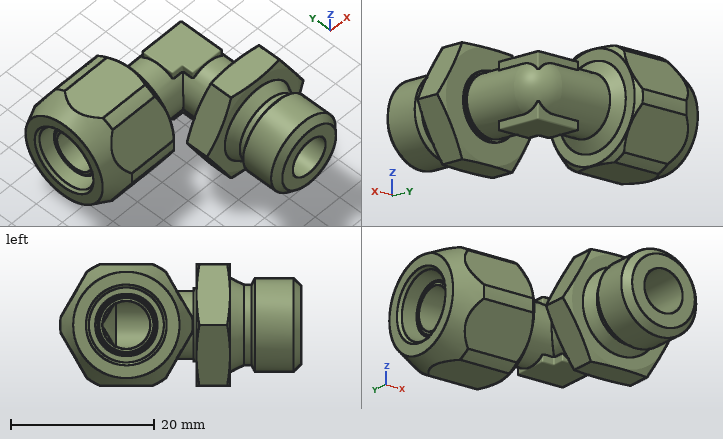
import cadquery as cq
import math

overall_length = 33.8
across_flats = 17.0
flat_radius = across_flats / 2
hex_corner_radius = flat_radius / math.cos(math.radians(30))

pipe_radius = 4.77
bore_radius = 3.35
drill_tip_height = bore_radius / math.tan(math.radians(59))
stud_bore_end = 1.45

pad_outer = 3.0
pad_inner = -4.95
pad_notch = -2.95
pad_half_height = 5.0
pad_rounding = 0.2

nut_front = hex_corner_radius - overall_length
nut_back = -10.55
nut_corner_radius = 9.25
nut_face_radius = 7.45
nut_cone_end = -19.95
nut_back_radius = 8.45
nut_back_chamfer = 0.8
collar_radius = 6.7
collar_end = -9.35

socket_radius = 5.25
socket_chamfer_radius = 5.65
socket_chamfer = 0.55
socket_depth = 6.1
liner_setback = 2.13
liner_face_radius = 3.8
liner_tip_radius = 4.05
liner_root_radius = 4.35
liner_tip_chamfer = 0.1

washer_start = 9.4
washer_radius = 5.15
stud_hex_start = 9.8
stud_hex_end = 14.5
stud_hex_face_radius = 8.45
stud_hex_bevel = 0.4
shoulder_radius = 6.63
neck_radius = 5.65
neck_start = 16.45
neck_end = 17.5
thread_radius = 6.55
thread_start = 18.0
thread_end = 23.35
stud_tip_radius = 5.48
stud_end = 24.48


def turned_x(points):
    """Solid of revolution about the X axis from (x, radius) points."""
    return cq.Workplane("XY").polyline(points).close().revolve(360, (0, 0, 0), (1, 0, 0))


def turned_stud(points):
    """Solid of revolution about the Y axis from (distance towards -Y, radius) points."""
    outline = [(radius, -distance) for distance, radius in points]
    return cq.Workplane("XY").polyline(outline).close().revolve(360, (0, 0, 0), (0, 1, 0))


def hex_prism(plane, length):
    """Hexagonal prism with its flats at the top and bottom in Z."""
    return cq.Workplane(plane).polygon(6, 2 * hex_corner_radius).extrude(length)


def elbow():
    nut_side = turned_x([(collar_end, 0), (collar_end, pipe_radius), (0, pipe_radius), (0, 0)])
    stud_side = turned_stud([(0, 0), (0, pipe_radius), (stud_hex_start, pipe_radius), (stud_hex_start, 0)])
    return nut_side.union(stud_side).union(cq.Workplane("XY").sphere(pipe_radius))


def wrench_pads():
    outline = [
        (pad_inner, pad_outer),
        (pad_outer, pad_outer),
        (pad_outer, pad_inner),
        (pad_notch, pad_inner),
        (pad_notch, pad_notch),
        (pad_inner, pad_notch),
    ]
    block = cq.Workplane("XY").polyline(outline).close().extrude(pad_half_height, both=True)
    return block.edges("|Z or >Z or <Z").fillet(pad_rounding)


def nut():
    envelope = turned_x([
        (nut_front, 0),
        (nut_front, nut_face_radius),
        (nut_cone_end, nut_corner_radius),
        (nut_back - nut_back_chamfer, nut_corner_radius),
        (nut_back, nut_back_radius),
        (nut_back, 0),
    ])
    prism = hex_prism("YZ", nut_back - nut_front).translate((nut_front, 0, 0))
    collar = turned_x([
        (nut_back, 0),
        (nut_back, collar_radius),
        (collar_end, pipe_radius),
        (collar_end, 0),
    ])
    return prism.intersect(envelope).union(collar)


def stud():
    bevelled = turned_stud([
        (stud_hex_start, 0),
        (stud_hex_start, stud_hex_face_radius),
        (stud_hex_start + stud_hex_bevel, hex_corner_radius),
        (stud_hex_end - stud_hex_bevel, hex_corner_radius),
        (stud_hex_end, stud_hex_face_radius),
        (stud_hex_end, 0),
    ])
    prism = hex_prism("XZ", stud_hex_end - stud_hex_start).translate((0, -stud_hex_start, 0))
    shank = turned_stud([
        (washer_start, 0),
        (washer_start, washer_radius),
        (stud_hex_start, washer_radius),
        (stud_hex_end, shoulder_radius),
        (neck_start, neck_radius),
        (neck_end, neck_radius),
        (thread_start, thread_radius),
        (thread_end, thread_radius),
        (stud_end, stud_tip_radius),
        (stud_end, 0),
    ])
    return prism.intersect(bevelled).union(shank)


def nut_socket():
    """Annular space between the nut and the liner, open in front of the liner."""
    liner_face = nut_front + liner_setback
    floor = nut_front + socket_depth
    return turned_x([
        (nut_front, 0),
        (nut_front, socket_chamfer_radius),
        (nut_front + socket_chamfer, socket_radius),
        (floor, socket_radius),
        (floor, liner_root_radius),
        (liner_face + liner_tip_chamfer, liner_tip_radius),
        (liner_face, liner_face_radius),
        (liner_face, 0),
    ])


def bores():
    """Two drilled bores with conical ends that meet in the elbow."""
    nut_bore = turned_x([(nut_front, 0), (nut_front, bore_radius), (0, bore_radius), (drill_tip_height, 0)])
    stud_bore = turned_stud([
        (stud_end, 0),
        (stud_end, bore_radius),
        (-stud_bore_end, bore_radius),
        (-stud_bore_end - drill_tip_height, 0),
    ])
    return nut_bore.union(stud_bore)


body = elbow().union(wrench_pads()).union(nut()).union(stud())
result = body.cut(nut_socket()).cut(bores())